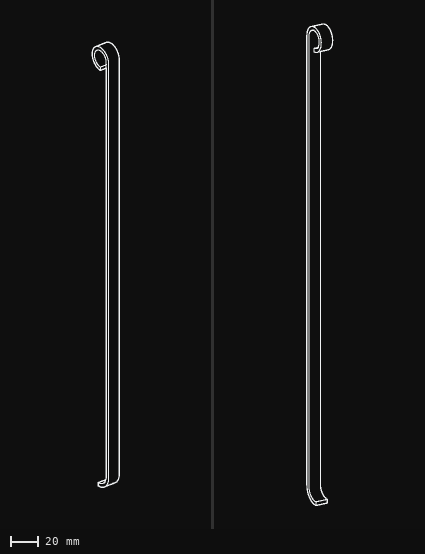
import cadquery as cq
import math

overall_height = 370.0
strip_width = 10.0
stem_thickness = 3.05
hook_outer_radius = 9.7
hook_thickness = 2.85
foot_outer_radius = 12.2
foot_thickness = 2.95

hook_inner_radius = hook_outer_radius - hook_thickness
foot_inner_radius = foot_outer_radius - foot_thickness

stem_outer_x = hook_outer_radius
stem_inner_x = stem_outer_x - stem_thickness
hook_centre = (0.0, overall_height - hook_outer_radius)
foot_centre = (stem_outer_x - foot_outer_radius, foot_outer_radius)

RIGHT = 0
HOOK_MIDDLE = 135
FOOT_MIDDLE = -45
DOWN = -90


def point_on_circle(centre, radius, angle):
    """XZ point on a circle at the given angle in degrees."""
    radians = math.radians(angle)
    return (
        centre[0] + radius * math.cos(radians),
        centre[1] + radius * math.sin(radians),
    )


def height_at_stem_inner_face(centre, radius):
    """Vertical distance from an arc centre to where its circle meets the stem inner face."""
    return math.sqrt(radius**2 - (stem_inner_x - centre[0]) ** 2)


def strip_profile():
    """Closed XZ outline: quarter-turn foot, straight stem and three-quarter-turn hook."""
    hook_inner_start = (
        stem_inner_x,
        hook_centre[1] + height_at_stem_inner_face(hook_centre, hook_inner_radius),
    )
    foot_inner_start = (
        stem_inner_x,
        foot_centre[1] - height_at_stem_inner_face(foot_centre, foot_inner_radius),
    )
    return (
        cq.Workplane("XZ")
        .moveTo(*point_on_circle(foot_centre, foot_outer_radius, DOWN))
        .threePointArc(
            point_on_circle(foot_centre, foot_outer_radius, FOOT_MIDDLE),
            point_on_circle(foot_centre, foot_outer_radius, RIGHT),
        )
        .lineTo(stem_outer_x, hook_centre[1])
        .threePointArc(
            point_on_circle(hook_centre, hook_outer_radius, HOOK_MIDDLE),
            point_on_circle(hook_centre, hook_outer_radius, DOWN),
        )
        .lineTo(*point_on_circle(hook_centre, hook_inner_radius, DOWN))
        .threePointArc(
            point_on_circle(hook_centre, hook_inner_radius, HOOK_MIDDLE),
            hook_inner_start,
        )
        .lineTo(*foot_inner_start)
        .threePointArc(
            point_on_circle(foot_centre, foot_inner_radius, FOOT_MIDDLE),
            point_on_circle(foot_centre, foot_inner_radius, DOWN),
        )
        .close()
    )


result = strip_profile().extrude(strip_width / 2, both=True)